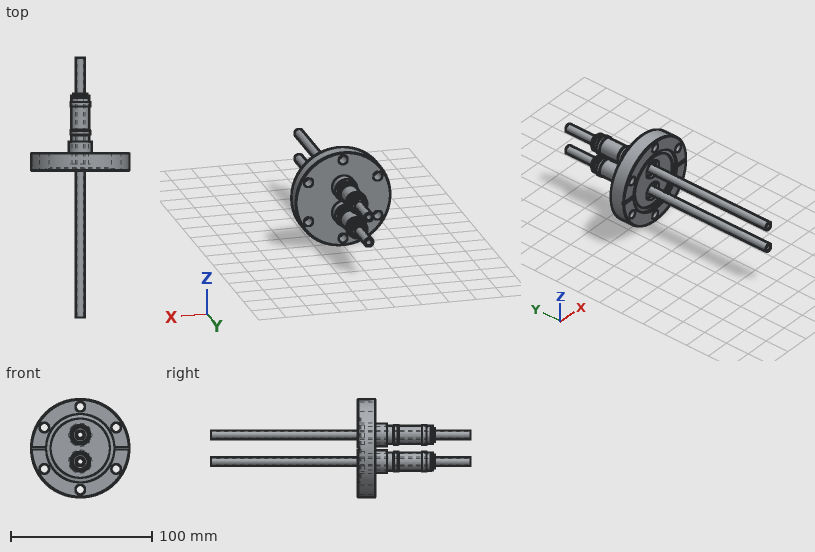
import cadquery as cq
import math


flange_diameter = 69.8
flange_thickness = 12.7
flange_chamfer = 0.5
bolt_count = 6
bolt_circle_diameter = 58.7
bolt_hole_diameter = 6.6

recess_diameter = 48.5
recess_depth = 1.7
knife_diameter = 42.0
knife_depth = 1.1
centre_depth = 2.2

groove_width = 1.7
groove_depth = 1.1

tube_length = 184.2
tube_back_reach = 80.1
tube_diameter = 6.5
tube_bore_diameter = 4.6
tube_spacing = 19.0

sleeve_steps = [
    (16.4, 20.6),
    (13.0, 25.0),
    (13.3, 25.6),
    (14.2, 28.4),
    (14.0, 29.0),
    (13.3, 29.3),
    (13.0, 45.7),
    (14.2, 48.6),
    (13.0, 52.1),
    (12.9, 53.2),
    (10.0, 54.9),
]

entry_diameter = 14.0
entry_depth = 2.8
cavity_diameter = 11.6
cavity_end = 51.5
plug_length = 2.8
plug_tip_diameter = 10.5


def disc(diameter, y_start, y_end, x=0, z=0):
    """Solid cylinder along Y between two Y positions."""
    base = cq.Workplane("XZ", origin=(x, y_start, z)).circle(diameter / 2)
    return base.extrude(y_start - y_end)


def make_flange():
    """Flange with its seal recess, leak-check grooves and bolt holes."""
    blank = disc(flange_diameter, 0, flange_thickness).edges().chamfer(flange_chamfer)
    recess = (
        cq.Workplane("XY")
        .polyline([
            (0, 0),
            (recess_diameter / 2, 0),
            (recess_diameter / 2, recess_depth),
            (knife_diameter / 2, knife_depth),
            (knife_diameter / 2, centre_depth),
            (0, centre_depth),
        ])
        .close()
        .revolve(360, (0, 0, 0), (0, 1, 0))
    )
    groove_bar = cq.Workplane("XY").box(flange_diameter, 2 * groove_depth, groove_width)
    grooves = groove_bar.cut(disc(recess_diameter, -groove_depth, groove_depth))
    flange = blank.cut(recess).cut(grooves)

    for index in range(bolt_count):
        angle = 2 * math.pi * index / bolt_count
        x = bolt_circle_diameter / 2 * math.sin(angle)
        z = bolt_circle_diameter / 2 * math.cos(angle)
        flange = flange.cut(disc(bolt_hole_diameter, 0, flange_thickness, x, z))
    return flange


def make_sleeve(z):
    """Stepped outside of one insulator assembly, standing on the back of the flange."""
    y_start = flange_thickness
    sleeve = None
    for diameter, y_end in sleeve_steps:
        step = disc(diameter, y_start, y_end, z=z)
        sleeve = step if sleeve is None else sleeve.union(step)
        y_start = y_end
    return sleeve


def make_cavity(z):
    """Annular space inside one assembly, with a tapered plug left at its closed end."""
    entry_end = centre_depth + entry_depth
    cavity = disc(entry_diameter, 0, entry_end, z=z).union(disc(cavity_diameter, 0, cavity_end, z=z))
    plug = (
        cq.Workplane("XZ", origin=(0, cavity_end, z))
        .circle(cavity_diameter / 2)
        .workplane(offset=plug_length)
        .circle(plug_tip_diameter / 2)
        .loft()
    )
    return cavity.cut(plug)


tube_front = tube_back_reach - tube_length
result = make_flange()
for z in (-tube_spacing / 2, tube_spacing / 2):
    result = result.union(make_sleeve(z))
    result = result.cut(make_cavity(z))
    result = result.union(disc(tube_diameter, tube_front, tube_back_reach, z=z))
    result = result.cut(disc(tube_bore_diameter, tube_front, tube_back_reach, z=z))